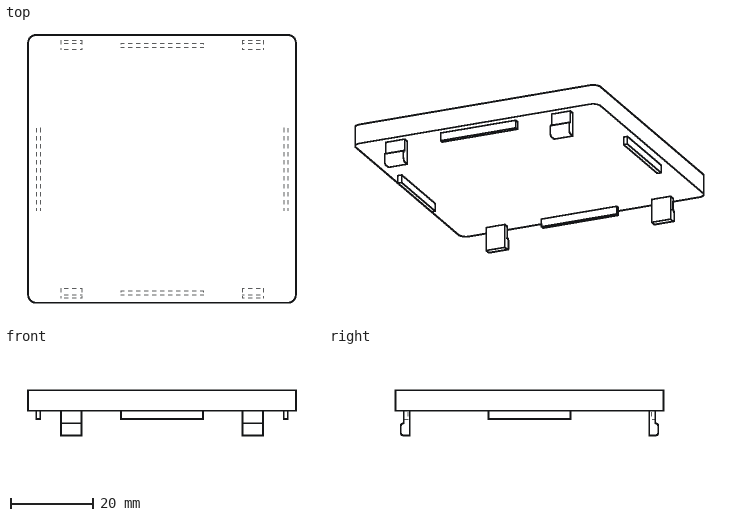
import cadquery as cq

plate_side = 65.0
plate_thickness = 5.0
corner_radius = 2.0

side_inset = 2.0
inset_face = plate_side / 2 - side_inset

tab_length = 20.0
tab_thickness = 1.0
tab_height = 2.0

clip_width = 5.0
clip_thickness = 1.5
clip_height = 6.0
clip_end_margin = 8.0
clip_center_x = plate_side / 2 - clip_end_margin - clip_width / 2

hook_height = 3.0
hook_reach = 0.75


def make_plate():
    """Rounded square plate, underside at Z = 0."""
    plate = cq.Workplane("XY").rect(plate_side, plate_side).extrude(plate_thickness)
    return plate.edges("|Z").fillet(corner_radius)


def make_tab():
    """Locating tab of the -Y side."""
    tab = cq.Workplane("XY").box(tab_length, tab_thickness, tab_height, centered=(True, False, False))
    return tab.translate((0, -inset_face, -tab_height))


def make_clip(center_x):
    """Snap clip of the -Y side, hooked outwards, with both hook corners rounded."""
    outer_y = -inset_face
    inner_y = outer_y + clip_thickness
    hook_y = outer_y - hook_reach
    bottom_z = -clip_height
    hook_top_z = bottom_z + hook_height
    profile = (
        cq.Workplane("YZ")
        .moveTo(inner_y, 0)
        .lineTo(outer_y, 0)
        .lineTo(outer_y, hook_top_z)
        .radiusArc((hook_y, hook_top_z - hook_reach), -hook_reach)
        .lineTo(hook_y, bottom_z + hook_reach)
        .radiusArc((outer_y, bottom_z), -hook_reach)
        .lineTo(inner_y, bottom_z)
        .close()
    )
    return profile.extrude(clip_width / 2, both=True).translate((center_x, 0, 0))


def turned(body, angle):
    """Body turned about the vertical axis of the plate."""
    return body.rotate((0, 0, 0), (0, 0, 1), angle)


result = make_plate()

for side_angle in (0, 90, 180, 270):
    result = result.union(turned(make_tab(), side_angle))

for side_angle in (0, 180):
    for clip_x in (-clip_center_x, clip_center_x):
        result = result.union(turned(make_clip(clip_x), side_angle))